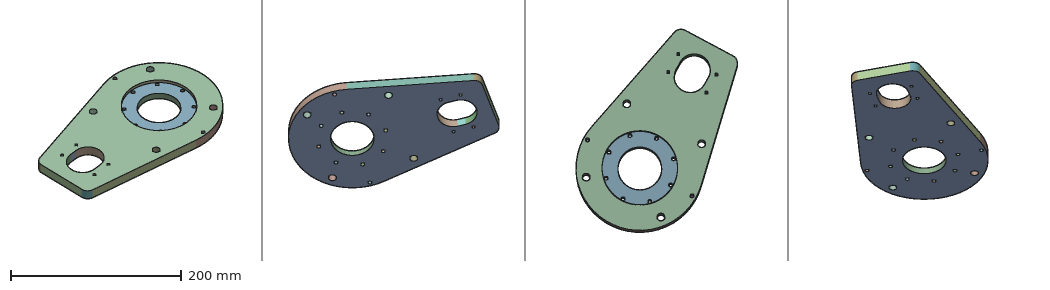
import cadquery as cq
import math

total_length = 245.0
thickness = 12.7
head_radius = 75.0
foot_corner_radius = 10.0
foot_corner_x = 32.0
foot_y = head_radius - total_length
foot_corner_y = foot_y + foot_corner_radius

bore_diameter = 51.2
recess_diameter = 88.7
recess_depth = 4.2
seat_hole_count = 8
seat_hole_circle_radius = 41.2
seat_hole_diameter = 4.5

mount_hole_spacing = 100.0
mount_hole_center_y = -10.0
mount_hole_diameter = 9.0
pin_hole_spacing = 140.0
pin_hole_diameter = 4.5

slot_y = -128.9
slot_width = 37.7
slot_length = 47.3
slot_hole_spacing_x = 51.0
slot_hole_spacing_y = 24.5
slot_hole_diameter = 3.5


def make_plate():
    """Head and foot corners joined by straight sides tangent to both."""
    center_distance = math.hypot(foot_corner_x, foot_corner_y)
    center_angle = math.atan2(foot_corner_x, -foot_corner_y)
    taper = math.asin((head_radius - foot_corner_radius) / center_distance) - center_angle

    side_x = math.cos(taper)
    side_y = -math.sin(taper)
    head_x = head_radius * side_x
    head_y = head_radius * side_y
    corner_end_x = foot_corner_x + foot_corner_radius * side_x
    corner_end_y = foot_corner_y + foot_corner_radius * side_y
    middle_angle = (-math.pi / 2 - taper) / 2
    corner_mid_x = foot_corner_x + foot_corner_radius * math.cos(middle_angle)
    corner_mid_y = foot_corner_y + foot_corner_radius * math.sin(middle_angle)

    return (
        cq.Workplane("XY")
        .moveTo(-head_x, head_y)
        .threePointArc((0, head_radius), (head_x, head_y))
        .lineTo(corner_end_x, corner_end_y)
        .threePointArc((corner_mid_x, corner_mid_y), (foot_corner_x, foot_y))
        .lineTo(-foot_corner_x, foot_y)
        .threePointArc((-corner_mid_x, corner_mid_y), (-corner_end_x, corner_end_y))
        .close()
        .extrude(thickness)
    )


def through_holes(pattern, diameter):
    """Cylinders through the plate at every point of a pattern."""
    return pattern.circle(diameter / 2).extrude(thickness)


def cut_bearing_seat(plate):
    base = cq.Workplane("XY")
    recess = (
        base.workplane(offset=thickness - recess_depth)
        .circle(recess_diameter / 2)
        .extrude(recess_depth)
    )
    bore = through_holes(base, bore_diameter)
    hole_pattern = base.polarArray(seat_hole_circle_radius, 0, 360, seat_hole_count)
    holes = through_holes(hole_pattern, seat_hole_diameter)
    return plate.cut(recess).cut(bore).cut(holes)


def cut_mounting_holes(plate):
    base = cq.Workplane("XY")
    pin_pattern = base.pushPoints([(-pin_hole_spacing / 2, 0), (pin_hole_spacing / 2, 0)])
    mount_base = base.center(0, mount_hole_center_y)
    mount_pattern = mount_base.rect(mount_hole_spacing, mount_hole_spacing, forConstruction=True).vertices()
    mount_holes = through_holes(mount_pattern, mount_hole_diameter)
    pin_holes = through_holes(pin_pattern, pin_hole_diameter)
    return plate.cut(mount_holes).cut(pin_holes)


def cut_foot_slot(plate):
    base = cq.Workplane("XY").center(0, slot_y)
    slot = base.slot2D(slot_length, slot_width, 90).extrude(thickness)
    hole_pattern = base.rect(slot_hole_spacing_x, slot_hole_spacing_y, forConstruction=True).vertices()
    holes = through_holes(hole_pattern, slot_hole_diameter)
    return plate.cut(slot).cut(holes)


result = make_plate()
result = cut_bearing_seat(result)
result = cut_mounting_holes(result)
result = cut_foot_slot(result)